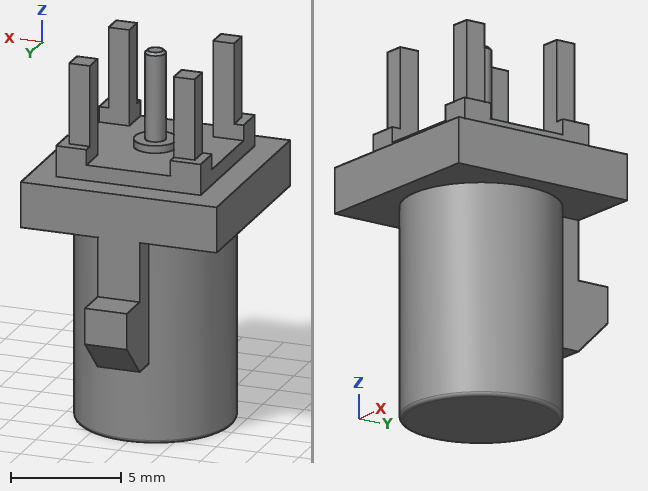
import cadquery as cq

total_height = 17.7
post_height = 3.9
corner_height = 0.75
plinth_height = 0.75
flange_height = 2.2
flange_top = total_height - post_height - corner_height - plinth_height
flange_bottom = flange_top - flange_height
plinth_top = flange_top + plinth_height
corner_top = plinth_top + corner_height

flange_side = 9.5
plinth_side = 7.01
barrel_diameter = 7.42
barrel_round = 0.18
post_side = 1.01
corner_gap = 4.07
corner_side = (plinth_side - corner_gap) / 2

overall_depth = 11.15
latch_width = 2.04
latch_drop = 6.25
hook_drop = 2.87
latch_back = flange_side / 2
hook_tip = overall_depth - flange_side / 2
hook_reach = hook_tip - latch_back
latch_bottom = flange_bottom - latch_drop

collar_diameter = 1.98
collar_height = 0.35
pin_diameter = 0.95
pin_chamfer = 0.12


def square_block(side, bottom, height, x=0.0, y=0.0):
    """Square upright block with its base centred at (x, y, bottom)."""
    base = cq.Workplane("XY", origin=(x, y, bottom))
    return base.rect(side, side).extrude(height)


def make_barrel():
    """Round barrel with a rounded lower edge."""
    barrel = cq.Workplane("XY").circle(barrel_diameter / 2).extrude(flange_bottom)
    return barrel.faces("<Z").edges().fillet(barrel_round)


def make_latch():
    """Straight rib with a hook whose lower corner slopes at 45 degrees."""
    outline = [
        (0, flange_bottom),
        (latch_back, flange_bottom),
        (latch_back, flange_bottom - hook_drop),
        (hook_tip, flange_bottom - hook_drop),
        (hook_tip, latch_bottom + hook_reach),
        (latch_back, latch_bottom),
        (0, latch_bottom),
    ]
    return cq.Workplane("YZ").polyline(outline).close().extrude(latch_width / 2, both=True)


def make_housing():
    """Barrel, latch, flange and plinth with a stepped post at each corner."""
    housing = make_barrel().union(make_latch())
    housing = housing.union(square_block(flange_side, flange_bottom, flange_height))
    housing = housing.union(square_block(plinth_side, flange_top, plinth_height))
    corner_centre = (corner_gap + corner_side) / 2
    post_centre = (corner_gap + post_side) / 2
    for x_sign in (-1, 1):
        for y_sign in (-1, 1):
            corner = square_block(
                corner_side, plinth_top, corner_height, x_sign * corner_centre, y_sign * corner_centre
            )
            post = square_block(
                post_side, corner_top, post_height, x_sign * post_centre, y_sign * post_centre
            )
            housing = housing.union(corner).union(post)
    return housing


def make_contact():
    """Collar resting on the plinth, carrying a pin with a chamfered tip."""
    base = cq.Workplane("XY", origin=(0, 0, plinth_top))
    collar = base.circle(collar_diameter / 2).extrude(collar_height)
    pin = base.circle(pin_diameter / 2).extrude(total_height - plinth_top)
    pin = pin.faces(">Z").edges().chamfer(pin_chamfer)
    return collar.union(pin)


housing = make_housing()
contact = make_contact()
result = cq.Compound.makeCompound([housing.val(), contact.val()])